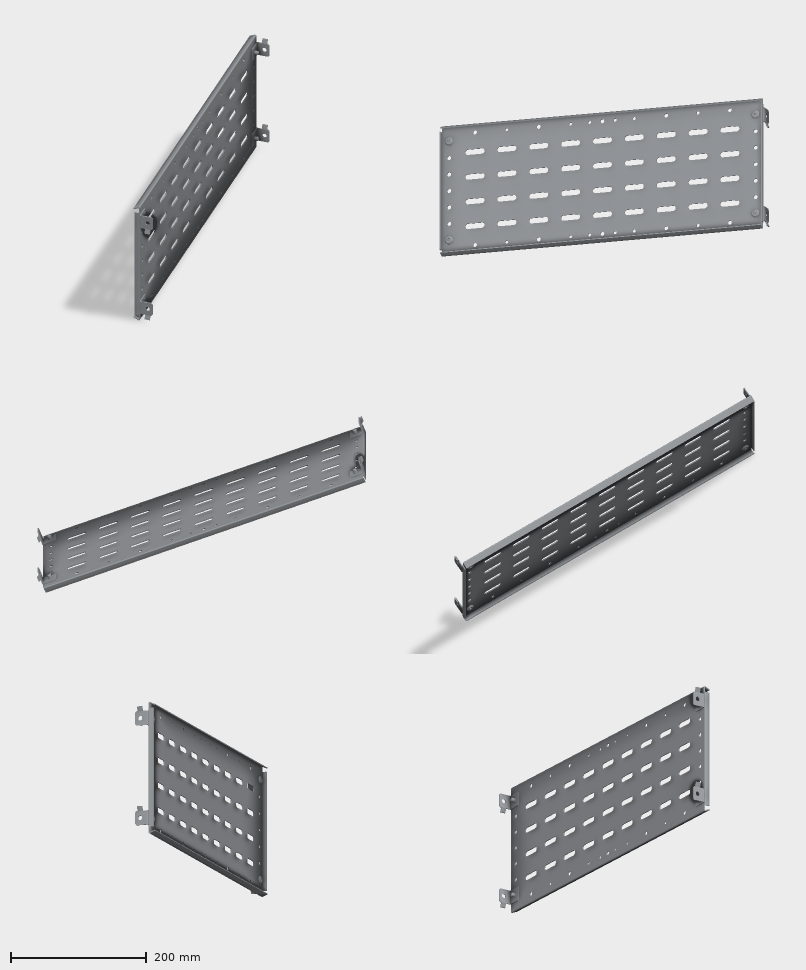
import cadquery as cq
import math


SHEET = 1.5
TOTAL_LENGTH = 511.5
TOTAL_HEIGHT = 197.5

PANEL_LENGTH = 506.5
LIP_LENGTH = 503.5
LIP_REACH = 10.0
LIP_ANGLE = 23.0
FLANGE_HEIGHT = 179.0
FLANGE_REACH = 8.0
BEND_RADIUS = 1.5

COLUMNS = 9
SLOT_ROWS = 4
COLUMN_SPAN = 400.0
COLUMN_PITCH = COLUMN_SPAN / (COLUMNS - 1)
SLOT_ROW_PITCH = 0.75 * COLUMN_PITCH
SLOT_LENGTH = 0.6 * COLUMN_PITCH
SLOT_WIDTH = 8.0
EDGE_ROW_Z = 85.5
LARGE_HOLE = 6.0
SMALL_HOLE = 4.5
INNER_HOLE_Y = 0.4 * COLUMN_PITCH
END_HOLES = 5
END_HOLE_PITCH = COLUMN_PITCH / 2

SCREW_Y = 240.5
SCREW_Z = (END_HOLES + 1) / 2 * END_HOLE_PITCH
SCREW_PLACES = [(y, z) for y in (-SCREW_Y, SCREW_Y) for z in (-SCREW_Z, SCREW_Z)]
SHANK_DIAMETER = 6.0
SHANK_END = 7.5
SHANK_CHAMFER = 1.0
HEAD_DIAMETER = 12.5
HEAD_HEIGHT = 2.5
HEAD_CHAMFER = 1.5
SOCKET_WIDTH = 4.5
SOCKET_DEPTH = 1.5

BRACKET_REACH = 20.5
BRACKET_HEIGHT = 21.5
BASE_LENGTH = 21.5
ARM_CORNER = 2.0
ARM_HOLE_X = 13.0
ARM_HOLE = 6.5
TAB_WIDTH = 8.0
TAB_RISE = 6.5


def panel_profile():
    """XZ section: flat plate with a sloped lip folded forward at the top and the bottom."""
    slope = math.radians(LIP_ANGLE)
    crown_gap = BEND_RADIUS * ((1 + math.sin(slope)) / math.cos(slope) - 1)
    corner_z = TOTAL_HEIGHT / 2 + crown_gap
    tip_x = -LIP_REACH
    tip_z = corner_z - LIP_REACH * math.tan(slope)
    inner_tip_x = tip_x + SHEET * math.sin(slope)
    inner_tip_z = tip_z - SHEET * math.cos(slope)
    inner_bend_z = inner_tip_z + (-SHEET - inner_tip_x) * math.tan(slope)
    upper = [(0, corner_z), (tip_x, tip_z), (inner_tip_x, inner_tip_z), (-SHEET, inner_bend_z)]
    lower = [(x, -z) for x, z in reversed(upper)]
    return upper + lower


def end_flange(side):
    """Flange folded forward at one end, with the strip of plate that reaches to it."""
    strip = (PANEL_LENGTH - LIP_LENGTH) / 2 + SHEET
    outer = PANEL_LENGTH / 2
    section = [
        (0, outer - strip),
        (0, outer),
        (-FLANGE_REACH, outer),
        (-FLANGE_REACH, outer - SHEET),
        (-SHEET, outer - SHEET),
        (-SHEET, outer - strip),
    ]
    flange = cq.Workplane("XY").polyline(section).close().extrude(FLANGE_HEIGHT / 2, both=True)
    flange = flange.edges("|Z and >X and >Y").fillet(BEND_RADIUS)
    return flange if side > 0 else flange.mirror("XZ")


def drill(points, diameter):
    """Cylinders along X, long enough to pass through the panel, at (y, z) points."""
    drills = cq.Workplane("YZ").workplane(offset=-LIP_REACH)
    return drills.pushPoints(points).circle(diameter / 2).extrude(2 * LIP_REACH)


def make_panel():
    panel = cq.Workplane("XZ").polyline(panel_profile()).close().extrude(LIP_LENGTH / 2, both=True)
    panel = panel.edges("|Y and >X").fillet(BEND_RADIUS)
    for side in (-1, 1):
        panel = panel.union(end_flange(side))

    slots = (
        cq.Workplane("YZ").workplane(offset=-LIP_REACH)
        .rarray(COLUMN_PITCH, SLOT_ROW_PITCH, COLUMNS, SLOT_ROWS)
        .slot2D(SLOT_LENGTH, SLOT_WIDTH).extrude(2 * LIP_REACH)
    )
    panel = panel.cut(slots)

    last = COLUMNS // 2
    large_y = [column * COLUMN_PITCH for column in range(-last, last + 1, 2)]
    small_y = [column * COLUMN_PITCH for column in range(1 - last, last, 2)]
    small_y += [-INNER_HOLE_Y, INNER_HOLE_Y]
    for diameter, places in ((LARGE_HOLE, large_y), (SMALL_HOLE, small_y)):
        panel = panel.cut(drill([(y, z) for y in places for z in (-EDGE_ROW_Z, EDGE_ROW_Z)], diameter))

    end_z = [(index - (END_HOLES - 1) / 2) * END_HOLE_PITCH for index in range(END_HOLES)]
    panel = panel.cut(drill([(y, z) for y in (-SCREW_Y, SCREW_Y) for z in end_z], LARGE_HOLE))
    return panel.cut(drill(SCREW_PLACES, SHANK_DIAMETER))


def make_bracket():
    """Angle bracket for the +Y end, centred on Z = 0; its tab leans outward at the top."""
    outer = PANEL_LENGTH / 2
    half = BRACKET_HEIGHT / 2
    section = [
        (0, outer - BASE_LENGTH),
        (0, outer),
        (BRACKET_REACH, outer),
        (BRACKET_REACH, outer - SHEET),
        (SHEET, outer - SHEET),
        (SHEET, outer - BASE_LENGTH),
    ]
    bracket = cq.Workplane("XY").polyline(section).close().extrude(half, both=True)
    bracket = bracket.edges("|Y and >X").chamfer(ARM_CORNER)
    bracket = bracket.edges("|Z and <X and >Y").fillet(BEND_RADIUS)

    lean = math.atan2(TOTAL_LENGTH / 2 - outer, TAB_RISE)
    tip_y = TOTAL_LENGTH / 2
    tip_z = half + TAB_RISE
    tab_section = [
        (outer - SHEET, half),
        (outer, half),
        (tip_y, tip_z),
        (tip_y - SHEET / math.cos(lean), tip_z),
    ]
    tab = (
        cq.Workplane("YZ").workplane(offset=ARM_HOLE_X - TAB_WIDTH / 2)
        .polyline(tab_section).close().extrude(TAB_WIDTH)
    )
    arm_hole = (
        cq.Workplane("XZ").center(ARM_HOLE_X, 0).circle(ARM_HOLE / 2).extrude(-TOTAL_LENGTH / 2)
    )
    return bracket.union(tab).cut(arm_hole).cut(drill([(SCREW_Y, 0)], SHANK_DIAMETER))


def make_screw():
    """Button-head socket screw along X, its axis on Y = Z = 0, its head on the front of the plate."""
    head = cq.Workplane("YZ").workplane(offset=-SHEET).circle(HEAD_DIAMETER / 2).extrude(-HEAD_HEIGHT)
    head = head.faces("<X").edges().chamfer(HEAD_CHAMFER)
    socket = cq.Workplane("YZ").workplane(offset=-SHEET - HEAD_HEIGHT)
    head = head.cut(socket.polygon(6, SOCKET_WIDTH).extrude(SOCKET_DEPTH))
    shank = cq.Workplane("YZ").workplane(offset=-SHEET).circle(SHANK_DIAMETER / 2)
    shank = shank.extrude(SHEET + SHANK_END)
    shank = shank.faces(">X").edges().chamfer(SHANK_CHAMFER)
    return head.union(shank)


panel = make_panel()
brackets = []
screws = []
for y, z in SCREW_PLACES:
    turn = 0 if y > 0 else 180
    brackets.append(make_bracket().rotate((0, 0, 0), (1, 0, 0), turn).translate((0, 0, z)))
    screws.append(make_screw().translate((0, y, z)))

result = cq.Compound.makeCompound(
    [panel.val()] + [bracket.val() for bracket in brackets] + [screw.val() for screw in screws]
)